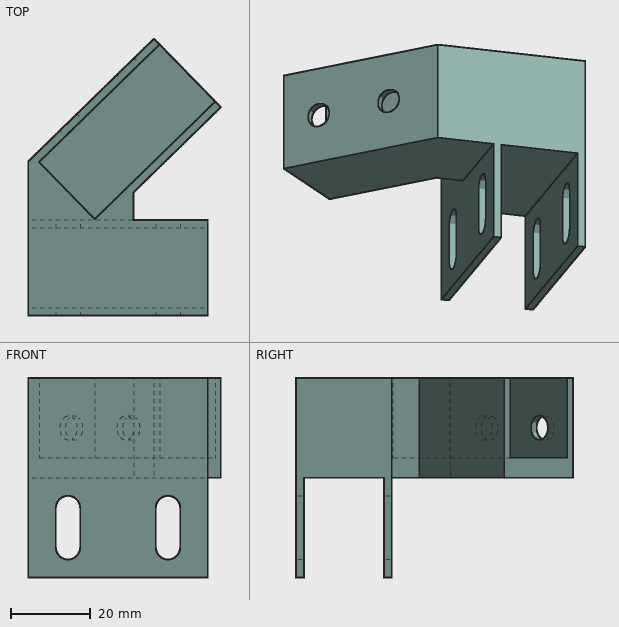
import cadquery as cq
import math

body_length = 45.0
body_depth = 24.0
total_length_x = 48.3
total_length_y = 69.35
leg_height = 25.0
total_height = 50.0
wall = 2.0
neck_width = 26.4

arm_angle = 44.3
arm_width = body_depth
channel_length = 42.2
channel_depth = 20.0

hole_diameter = 6.0
hole_end_distance = 10.0
hole_spacing = 20.0
slot_length = 15.9
slot_end_distance = 10.0

block_height = total_height - leg_height
arm_sin = math.sin(math.radians(arm_angle))
arm_cos = math.cos(math.radians(arm_angle))
arm_tan = arm_sin / arm_cos

outer_tip = (total_length_x - arm_width * arm_sin, total_length_y)
inner_tip = (total_length_x, total_length_y - arm_width * arm_cos)


def make_block():
    """Bent block: a straight body with the arm leaving it at an angle."""
    outline = [
        (0, 0),
        (body_length, 0),
        (body_length, body_depth),
        (neck_width, body_depth),
        (neck_width, inner_tip[1] - (inner_tip[0] - neck_width) * arm_tan),
        inner_tip,
        outer_tip,
        (0, outer_tip[1] - outer_tip[0] * arm_tan),
    ]
    return cq.Workplane("XY").workplane(offset=leg_height).polyline(outline).close().extrude(block_height)


def make_leg_plates():
    """Two parallel plates hanging below the body."""
    plates = cq.Workplane("XY")
    for front_y in (0, body_depth - wall):
        plate = cq.Workplane("XY").box(body_length, wall, leg_height, centered=False)
        plates = plates.add(plate.translate((0, front_y, 0)))
    return plates.combine()


def make_leg_slots():
    """Upright slots through both plates."""
    slot_centres = [
        (slot_end_distance, leg_height / 2),
        (body_length - slot_end_distance, leg_height / 2),
    ]
    return (
        cq.Workplane("XZ")
        .pushPoints(slot_centres)
        .slot2D(slot_length, hole_diameter, 90)
        .extrude(-body_depth)
    )


def make_arm_cuts():
    """Channel and outer-wall holes, modelled at the outer tip with the arm along +X, then turned."""
    channel = cq.Workplane("XY").box(
        channel_length, arm_width - 2 * wall, channel_depth, centered=False
    ).translate((-channel_length, wall - arm_width, total_height - channel_depth))
    hole_height = leg_height + block_height / 2
    hole_centres = [
        (-hole_end_distance, hole_height),
        (-hole_end_distance - hole_spacing, hole_height),
    ]
    holes = (
        cq.Workplane("XZ")
        .pushPoints(hole_centres)
        .circle(hole_diameter / 2)
        .extrude(wall)
    )
    cuts = channel.union(holes)
    return cuts.rotate((0, 0, 0), (0, 0, 1), arm_angle).translate((*outer_tip, 0))


result = make_block().union(make_leg_plates())
result = result.cut(make_leg_slots()).cut(make_arm_cuts())